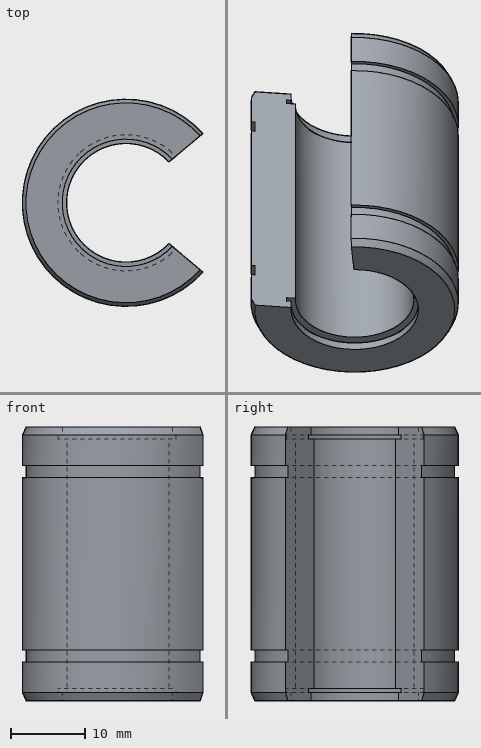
import cadquery as cq
import math

outer_radius = 14.0
bore_radius = 8.0
length = 37.0

chamfer_radial = 0.5
chamfer_axial = 1.1

groove_span = 26.5
groove_width = 1.6
groove_radius = 13.5

counterbore_radius = 8.6
counterbore_depth = 1.1

undercut_radius = 9.2
undercut_width = 0.55

opening_angle = 80.0
opening_width_at_bore = 11.0

half_length = length / 2


def cylinder(radius, height, z_start):
    """Cylinder on the Z axis rising from z_start."""
    return cq.Workplane("XY").workplane(offset=z_start).circle(radius).extrude(height)


def make_sleeve():
    """Solid body with chamfered rims, drilled through."""
    profile = [
        (0, -half_length),
        (outer_radius - chamfer_radial, -half_length),
        (outer_radius, -half_length + chamfer_axial),
        (outer_radius, half_length - chamfer_axial),
        (outer_radius - chamfer_radial, half_length),
        (0, half_length),
    ]
    body = cq.Workplane("XZ").polyline(profile).close().revolve(360, (0, 0, 0), (0, 1, 0))
    return body.cut(cylinder(bore_radius, length, -half_length))


def make_groove(z_start):
    """Ring of material removed by one retaining ring groove."""
    ring = cylinder(outer_radius, groove_width, z_start)
    return ring.cut(cylinder(groove_radius, groove_width, z_start))


def make_end_recess():
    """Counterbore and undercut removed at the upper end of the bore."""
    counterbore_floor = half_length - counterbore_depth
    counterbore = cylinder(counterbore_radius, counterbore_depth, counterbore_floor)
    undercut = cylinder(undercut_radius, undercut_width, counterbore_floor - undercut_width)
    return counterbore.union(undercut)


def make_opening():
    """Wedge removed along the full length, widening outwards from the bore."""
    slope = math.tan(math.radians(opening_angle / 2))
    mouth_y = opening_width_at_bore / 2
    mouth_x = math.sqrt(bore_radius**2 - mouth_y**2)
    far_x = outer_radius
    far_y = mouth_y + (far_x - mouth_x) * slope
    axis_y = mouth_y - mouth_x * slope
    outline = [(0, -axis_y), (far_x, -far_y), (far_x, far_y), (0, axis_y)]
    return (
        cq.Workplane("XY")
        .workplane(offset=-half_length)
        .polyline(outline)
        .close()
        .extrude(length)
    )


result = make_sleeve()
for groove_start in (-groove_span / 2, groove_span / 2 - groove_width):
    result = result.cut(make_groove(groove_start))
for end_recess in (make_end_recess(), make_end_recess().mirror("XY")):
    result = result.cut(end_recess)
result = result.cut(make_opening())